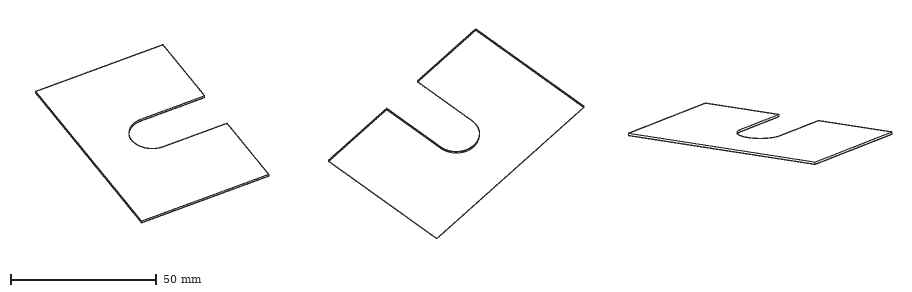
import cadquery as cq

length = 76.0
width = 50.0
thickness = 0.8
slot_width = 16.0

slot_radius = slot_width / 2
half_length = length / 2
half_width = width / 2

outline = (
    cq.Workplane("XY")
    .workplane(offset=-thickness / 2)
    .moveTo(-half_length, -half_width)
    .lineTo(half_length, -half_width)
    .lineTo(half_length, half_width)
    .lineTo(slot_radius, half_width)
    .lineTo(slot_radius, 0)
    .threePointArc((0, -slot_radius), (-slot_radius, 0))
    .lineTo(-slot_radius, half_width)
    .lineTo(-half_length, half_width)
    .close()
)

result = outline.extrude(thickness)